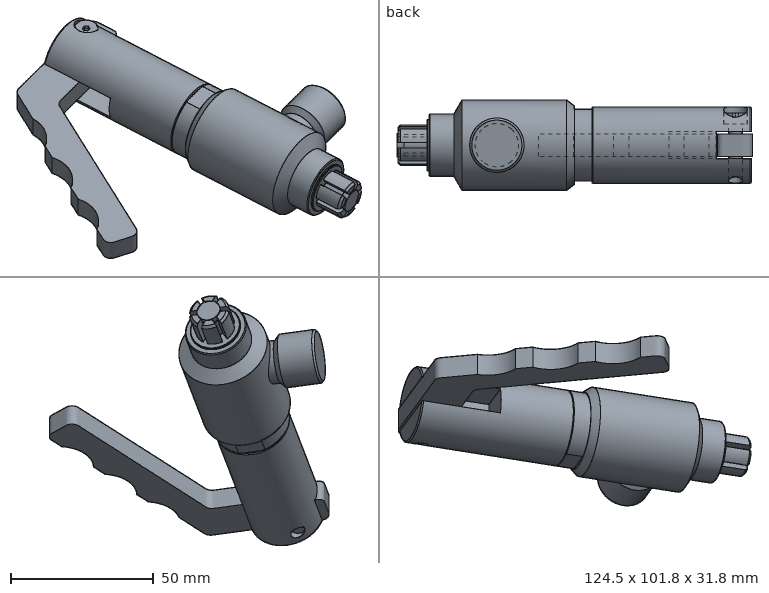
import cadquery as cq
import math


handle_start = 0.4
handle_end = 56.3
handle_radius = 26.9 / 2
handle_chamfer = 0.5
neck_groove_depth = 0.4
neck_end = 62.4
neck_flat_offset = 12.6
barrel_back_radius = 27.5 / 2
barrel_start = 65.1
barrel_end = 101.7
barrel_radius = 31.8 / 2
nose_start = 104.6
nose_end = 113.3
nose_radius = 21.9 / 2
nose_chamfer = 0.4
collar_end = 114.1
collar_radius = 9.0
collar_chamfer = 0.2

lug_end = 124.2
lug_radius = 7.1
lug_chamfer = 0.9
core_end = 124.5
core_radius = 7.7 / 2
core_rim_radius = 8.2 / 2
core_rim_start = 122.0
spline_count = 6
spline_width = 1.9

knob_x = 89.5
knob_top = 32.0
knob_bottom = 18.9
knob_radius = 19.0 / 2
knob_chamfer = 0.7
knob_stem_radius = 15.2 / 2
knob_stem_top = knob_bottom - (knob_radius - knob_stem_radius)

slot_width = 9.5
slot_through_end = 12.7
slot_pocket_end = 29.3

pivot_x = 6.0
pivot_y = 5.0
pin_diameter = 4.9
pin_hole_diameter = 5.0
pin_bottom = -11.0
pin_head_diameter = 8.2
pin_head_bore_diameter = 8.3
pin_head_bottom = 7.5
pin_head_top = 11.2
socket_width = 2.2
socket_depth = 1.5

lever_thickness = 8.0
head_top = 15.6
head_width = 12.3
head_back_fillet = 3.7
head_front_fillet = 2.0
arm_width = 15.3
arm_step_y = -0.4
corner_fillet = 3.0

grip_angle = math.radians(30)
grip_top_v = -13.8
heel_v = -24.9
land_v = -26.5
grip_end_u = 95.9
groove_count = 3
groove_radius = 12.1
groove_first_u = 35.0
groove_pitch = 22.3
groove_center_v = -35.5


def grip_point(u, v):
    """Turn a place on the grip into X and Y."""
    x = u * math.cos(grip_angle) + v * math.sin(grip_angle)
    y = -u * math.sin(grip_angle) + v * math.cos(grip_angle)
    return (x, y)


def grip_line_at(v, x):
    """Point at X = x on the line along the grip with offset v."""
    return (x, v / math.cos(grip_angle) - x * math.tan(grip_angle))


def groove_reach(v):
    """Half the chord that a finger groove cuts from the line with offset v."""
    return math.sqrt(groove_radius ** 2 - (v - groove_center_v) ** 2)


def make_turned_body():
    profile = [
        (handle_start, 0),
        (handle_start, handle_radius - handle_chamfer),
        (handle_start + handle_chamfer, handle_radius),
        (handle_end - neck_groove_depth, handle_radius),
        (handle_end, handle_radius - neck_groove_depth),
        (handle_end, handle_radius),
        (neck_end, handle_radius),
        (neck_end, barrel_back_radius),
        (barrel_start, barrel_radius),
        (barrel_end, barrel_radius),
        (nose_start, nose_radius),
        (nose_end - nose_chamfer, nose_radius),
        (nose_end, nose_radius - nose_chamfer),
        (nose_end, collar_radius),
        (collar_end - collar_chamfer, collar_radius),
        (collar_end, collar_radius - collar_chamfer),
        (collar_end, core_radius),
        (core_rim_start, core_radius),
        (core_rim_start, core_rim_radius),
        (core_end, core_rim_radius),
        (core_end, 0),
    ]
    return cq.Workplane("XY").polyline(profile).close().revolve(360, (0, 0, 0), (1, 0, 0))


def cut_neck_flats(body):
    length = neck_end - handle_end
    for side in (1, -1):
        above_flat = (
            cq.Workplane("XY")
            .box(length, 2 * handle_radius, handle_radius, centered=(False, True, True))
            .translate((handle_end, 0, side * (neck_flat_offset + handle_radius / 2)))
        )
        body = body.cut(above_flat)
    return body


def make_spline_lugs():
    length = lug_end - collar_end
    lugs = (
        cq.Workplane("YZ", origin=(collar_end, 0, 0))
        .circle(lug_radius)
        .extrude(length)
        .faces(">X")
        .chamfer(lug_chamfer)
    )
    core = cq.Workplane("YZ", origin=(collar_end, 0, 0)).circle(core_radius).extrude(length)
    for i in range(spline_count):
        groove = (
            cq.Workplane("XY", origin=(collar_end, 0, 0))
            .box(length, lug_radius, spline_width, centered=(False, False, True))
            .rotate((0, 0, 0), (1, 0, 0), i * 360 / spline_count)
        )
        lugs = lugs.cut(groove.cut(core))
    return lugs


def make_knob():
    profile = [
        (0, 0),
        (knob_stem_radius, 0),
        (knob_stem_radius, knob_stem_top),
        (knob_radius, knob_bottom),
        (knob_radius, knob_top - knob_chamfer),
        (knob_radius - knob_chamfer, knob_top),
        (0, knob_top),
    ]
    knob = cq.Workplane("XY").polyline(profile).close().revolve(360, (0, 0, 0), (0, 1, 0))
    return knob.translate((knob_x, 0, 0))


def cut_lever_slot(body):
    through = cq.Workplane("XY").box(
        slot_through_end, 2 * barrel_radius, slot_width, centered=(False, True, True)
    )
    pocket = (
        cq.Workplane("XY")
        .box(slot_pocket_end, barrel_radius, slot_width, centered=(False, False, True))
        .translate((0, -barrel_radius, 0))
    )
    return body.cut(through).cut(pocket)


def pivot_cylinder(diameter, bottom, top):
    return (
        cq.Workplane("XY", origin=(pivot_x, pivot_y, bottom))
        .circle(diameter / 2)
        .extrude(top - bottom)
    )


def make_housing():
    body = cut_neck_flats(make_turned_body())
    body = body.union(make_spline_lugs()).union(make_knob())
    body = cut_lever_slot(body)
    body = body.cut(pivot_cylinder(pin_hole_diameter, -barrel_radius, barrel_radius))
    return body.cut(pivot_cylinder(pin_head_bore_diameter, pin_head_bottom, barrel_radius))


def make_lever_plate():
    heel = grip_line_at(heel_v, 0)
    inner_corner = grip_line_at(grip_top_v, arm_width)
    tip_top = grip_point(grip_end_u, grip_top_v)
    tip_bottom = grip_point(grip_end_u, land_v)

    outline = (
        cq.Workplane("XY", origin=(0, 0, -lever_thickness / 2))
        .moveTo(0, head_top)
        .lineTo(head_width, head_top)
        .lineTo(head_width, arm_step_y)
        .lineTo(arm_width, arm_step_y)
        .lineTo(*inner_corner)
        .lineTo(*tip_top)
        .lineTo(*tip_bottom)
    )
    for i in reversed(range(groove_count)):
        center_u = groove_first_u + i * groove_pitch
        back_v = heel_v if i == 0 else land_v
        front = grip_point(center_u + groove_reach(land_v), land_v)
        middle = grip_point(center_u, groove_center_v + groove_radius)
        back = grip_point(center_u - groove_reach(back_v), back_v)
        outline = outline.lineTo(*front).threePointArc(middle, back)
    plate = outline.lineTo(*heel).close().extrude(lever_thickness)

    corners = [
        ((0, head_top), head_back_fillet),
        ((head_width, head_top), head_front_fillet),
        (inner_corner, corner_fillet),
        (tip_top, corner_fillet),
        (tip_bottom, corner_fillet),
        (heel, corner_fillet),
    ]
    for (x, y), radius in corners:
        corner_edge = cq.selectors.NearestToPointSelector((x, y, 0))
        plate = plate.edges("|Z").edges(corner_edge).fillet(radius)
    return plate


def make_pin():
    shank = pivot_cylinder(pin_diameter, pin_bottom, pin_head_bottom)
    head = pivot_cylinder(pin_head_diameter, pin_head_bottom, pin_head_top)
    socket_corner_diameter = socket_width / math.cos(math.radians(30))
    socket = (
        cq.Workplane("XY")
        .polygon(6, socket_corner_diameter)
        .extrude(socket_depth)
        .rotate((0, 0, 0), (0, 0, 1), 90)
        .translate((pivot_x, pivot_y, pin_head_top - socket_depth))
    )
    return shank.union(head).cut(socket)


def make_lever():
    return make_lever_plate().union(make_pin())


housing = make_housing()
lever = make_lever()
result = cq.Compound.makeCompound([*housing.solids().vals(), *lever.solids().vals()])